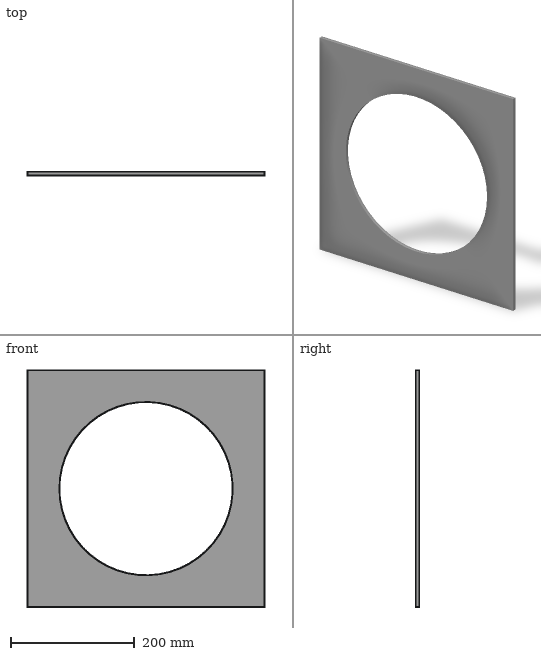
import cadquery as cq

plate_side = 382.5
plate_thickness = 6.0
opening_diameter = 279.2

plate = cq.Workplane("XY").box(plate_side, plate_thickness, plate_side)

result = plate.faces("<Y").workplane(centerOption="CenterOfBoundBox").hole(opening_diameter)